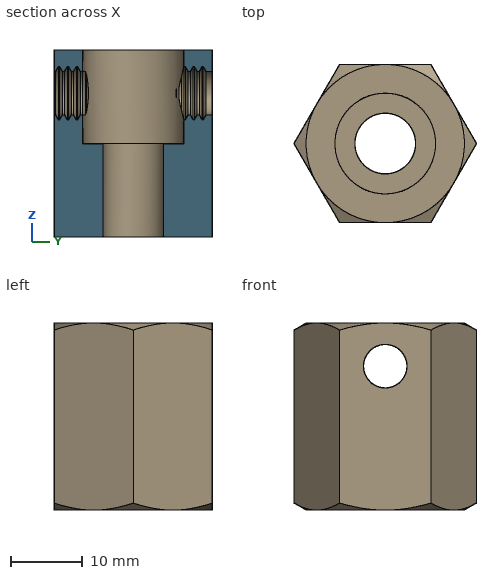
import cadquery as cq
import math

height = 26.0
across_flats = 22.0
across_corners = across_flats / math.cos(math.radians(30))
chamfer_angle = 30.0

bore_diameter = 8.4
counterbore_diameter = 14.0
counterbore_depth = height / 2

cross_hole_z = 20.0
minor_diameter = 6.0
groove_pitch = 1.25
root_width = groove_pitch / 8
mouth_width = groove_pitch * 3 / 4
flank_angle = 30.0
groove_depth = (mouth_width - root_width) / 2 / math.tan(math.radians(flank_angle))
first_groove_y = -10.32
groove_count = 17


def hex_body():
    """Hexagonal prism with two flats facing -Y and +Y, its corners turned off by a cone at each end."""
    prism = cq.Workplane("XY").polygon(6, across_corners).extrude(height)
    corner_radius = across_corners / 2
    flat_radius = across_flats / 2
    chamfer_drop = (corner_radius - flat_radius) * math.tan(math.radians(chamfer_angle))
    turned_blank = (
        cq.Workplane("XZ")
        .polyline([
            (0, 0),
            (flat_radius, 0),
            (corner_radius, chamfer_drop),
            (corner_radius, height - chamfer_drop),
            (flat_radius, height),
            (0, height),
        ])
        .close()
        .revolve(360, (0, 0), (0, 1))
    )
    return prism.intersect(turned_blank)


def stepped_bore():
    """Through bore with a wide counterbore from the top."""
    bore = cq.Workplane("XY").circle(bore_diameter / 2).extrude(height)
    counterbore = (
        cq.Workplane("XY", origin=(0, 0, height))
        .circle(counterbore_diameter / 2)
        .extrude(-counterbore_depth)
    )
    return bore.union(counterbore)


def grooved_cross_hole():
    """Cross hole along Y as one turned shape, its outline stepping out at every groove."""
    minor_radius = minor_diameter / 2
    major_radius = minor_radius + groove_depth
    half_length = across_flats / 2
    outline = [(0, -half_length), (minor_radius, -half_length)]
    for index in range(groove_count):
        groove_y = first_groove_y + index * groove_pitch
        outline += [
            (minor_radius, groove_y - mouth_width / 2),
            (major_radius, groove_y - root_width / 2),
            (major_radius, groove_y + root_width / 2),
            (minor_radius, groove_y + mouth_width / 2),
        ]
    outline += [(minor_radius, half_length), (0, half_length)]
    return (
        cq.Workplane("XY", origin=(0, 0, cross_hole_z))
        .polyline(outline)
        .close()
        .revolve(360, (0, 0), (0, 1))
    )


result = hex_body().cut(stepped_bore()).cut(grooved_cross_hole())